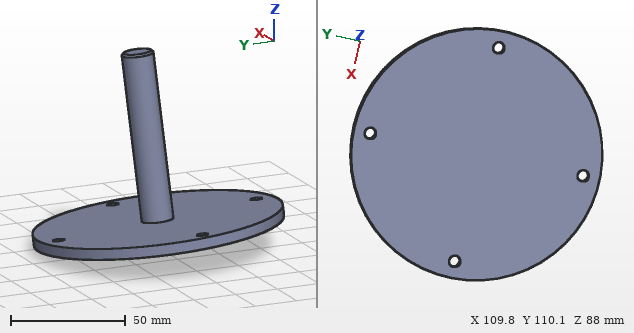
import cadquery as cq

disc_diameter = 110.0
disc_thickness = 5.0

post_diameter = 14.0
post_height = 75.2
post_chamfer = 1.0

hole_diameter = 5.0
hole_circle_radius = 47.5
hole_count = 4

tilt_about_y = 7
tilt_about_x = -4.2


def make_disc():
    """Flat disc with evenly spaced holes, its underside centred on the origin."""
    disc = cq.Workplane("XY").circle(disc_diameter / 2).extrude(disc_thickness)
    holes = (
        cq.Workplane("XY")
        .polarArray(hole_circle_radius, 0, 360, hole_count)
        .circle(hole_diameter / 2)
        .extrude(disc_thickness)
    )
    return disc.cut(holes)


def make_post():
    """Central post with a chamfered free end."""
    post = (
        cq.Workplane("XY")
        .workplane(offset=disc_thickness)
        .circle(post_diameter / 2)
        .extrude(post_height)
    )
    return post.faces(">Z").edges().chamfer(post_chamfer)


upright = make_disc().union(make_post())

result = (
    upright
    .rotate((0, 0, 0), (0, 1, 0), tilt_about_y)
    .rotate((0, 0, 0), (1, 0, 0), tilt_about_x)
)